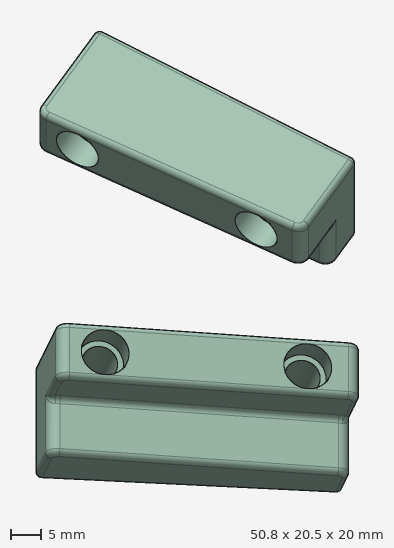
import cadquery as cq
import math

length = 50.8
height = 20.0
left_depth = 20.6
back_taper = 3.0
step_depth = 9.0
upper_height = height / 2

front_corner_radius = 2.05
edge_radius = 1.0

hole_diameter = 6.0
counterbore_diameter = 8.0
counterbore_depth = 5.0
hole_inset = 8.0
hole_spacing = 34.0

right_depth = left_depth - length * math.tan(math.radians(back_taper))
step_height = height - upper_height
hole_height = height - upper_height / 2


def rounded_block(front, block_height):
    """Block from the given front face to the tapered back, rounded on every edge."""
    outline = [(0, front), (length, front), (length, right_depth), (0, left_depth)]
    block = cq.Workplane("XY").polyline(outline).close().extrude(block_height)
    block = block.faces("<Y").edges("|Z").fillet(front_corner_radius)
    block = block.faces(">Y").edges("|Z").fillet(edge_radius)
    return block.faces("|Z").edges().fillet(edge_radius)


def counterbored_holes():
    """Cutters for the through holes and their front counterbores."""
    centers = [(hole_inset, hole_height), (hole_inset + hole_spacing, hole_height)]
    front = cq.Workplane("XZ").pushPoints(centers)
    holes = front.circle(hole_diameter / 2).extrude(-left_depth)
    counterbores = front.circle(counterbore_diameter / 2).extrude(-counterbore_depth)
    return holes.union(counterbores)


def stepped_body():
    """Full-height rear block and overhanging upper block, blended in the inner corner."""
    rear = rounded_block(step_depth, height)
    upper = rounded_block(0, upper_height).translate((0, 0, step_height))
    body = upper.union(rear)
    inner_corner = cq.selectors.NearestToPointSelector((length / 2, step_depth, step_height))
    return body.edges("|X").edges(inner_corner).fillet(edge_radius)


result = stepped_body().cut(counterbored_holes())